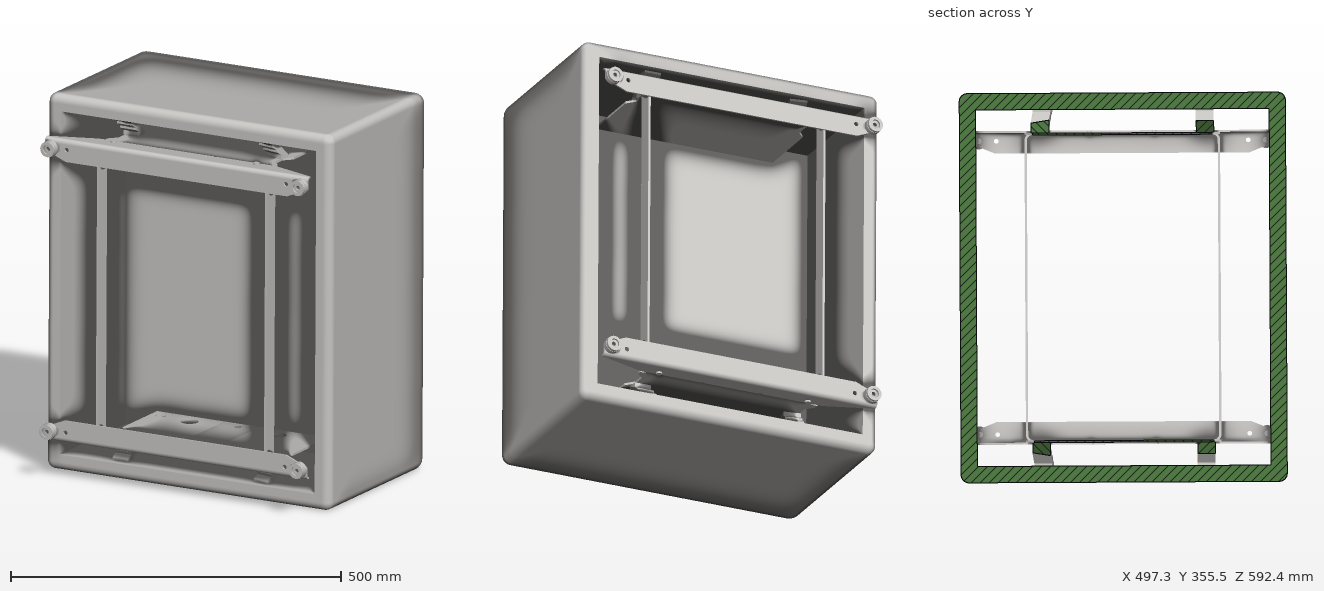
import cadquery as cq

TILT_ANGLE = 0.29

CASE_WIDTH = 494.5
CASE_DEPTH = 304.5
CASE_HEIGHT = 590.0
CASE_WALL = 25.5
CAVITY_DEPTH = 201.5
SIDE_ROUND = 13.0
BACK_ROUND = 25.0

FRAME_WIDTH = 296.0
FRAME_TOP = 234.5
FRAME_SHEET = 3.5
FRAME_BEND = 12.0
FRAME_FRONT = -19.5
UPRIGHT_BACK = 5.5
SHELF_BACK = 169.0
RELIEF_DEPTH = 12.0
RELIEF_FRONT = 12.5
RELIEF_BACK = 62.0
RELIEF_TAPER = 13.0

PORT_DIAMETER = 27.0
PORT_X = 76.5
PORT_Y = 141.5
CORNER_HOLES = [(125.5, 150.0, 7.0), (139.0, 144.5, 6.5)]
PAD_WIDTH = 61.5
PAD_FRONT = 50.0
PAD_BACK = 163.0
PAD_RECESS = 0.5
PAD_HOLE_DIAMETER = 11.0
PAD_HOLE_Y = 155.0

BRACKET_LENGTH = 457.5
BRACKET_SHEET = 3.0
BRACKET_BEND = 7.0
BRACKET_FRONT = -38.0
BRACKET_BACK = -4.0
BRACKET_BACK_LENGTH = 306.0
BRACKET_TAPER_END = -29.5
FLANGE_EDGE = 203.0
FLANGE_EDGE_LENGTH = 385.0
FLANGE_END = 218.0
FLANGE_HOLE_X = 191.0
FLANGE_HOLE_DIAMETER = 7.0
EDGE_HOLE_X = 49.0
EDGE_HOLE_Y = -3.0
EDGE_HOLE_DIAMETER = 6.5
BOLT_X = 124.5
BOLT_Y = -11.0
BOLT_HEAD_DIAMETER = 9.5
BOLT_HEAD_HEIGHT = 3.0

FOOT_X = 217.5
FOOT_Z = 222.0
FOOT_DIAMETER = 25.0
FOOT_LENGTH = 13.0
FOOT_RIM_DIAMETER = 23.5
FOOT_RIM_LENGTH = 5.0
RECESS_DIAMETER = 14.0
RECESS_DEPTH = 3.0
SOCKET_DIAMETER = 6.5
SOCKET_DEPTH = 6.0
STUD_DIAMETER = 9.0
STUD_END = -30.0

LEFT_ISOLATOR_X = -125.0
RIGHT_ISOLATOR_X = 119.0
ISOLATOR_WIDTH = 27.0
ISOLATOR_FRONT = 15.0
ISOLATOR_SLANT = 29.5
ISOLATOR_THICKNESS = 18.0
ISOLATOR_PAD = 3.5
ISOLATOR_STEPS = 3
STEP_RISER = 3.5
RIGHT_ISOLATOR_TURN = -10

BRACKET_TOP = FRAME_TOP + BRACKET_SHEET
CAVITY_TOP = CASE_HEIGHT / 2 - CASE_WALL
SIDES = (-1, 1)


def box(x0, x1, y0, y1, z0, z1):
    return cq.Workplane("XY").box(x1 - x0, y1 - y0, z1 - z0, centered=False).translate((x0, y0, z0))


def rod_along_y(x, z, diameter, y0, y1):
    return cq.Workplane("XZ", origin=(x, y0, z)).circle(diameter / 2).extrude(y0 - y1)


def rod_along_z(x, y, diameter, z0, z1):
    return cq.Workplane("XY", origin=(x, y, z0)).circle(diameter / 2).extrude(z1 - z0)


def flipped(shape):
    """Mirror a top feature to the bottom."""
    return shape.mirror("XY")


def make_case():
    half_width = CASE_WIDTH / 2
    half_height = CASE_HEIGHT / 2
    opening = half_width - CASE_WALL
    shell = box(-half_width, half_width, 0, CASE_DEPTH, -half_height, half_height)
    shell = shell.edges("|Y or <Y").fillet(SIDE_ROUND)
    shell = shell.faces(">Y").edges().fillet(BACK_ROUND)
    return shell.cut(box(-opening, opening, 0, CAVITY_DEPTH, -CAVITY_TOP, CAVITY_TOP))


def make_frame_loop():
    """Sheet loop of bent uprights at the front, continued by flat shelves at top and bottom."""
    half_width = FRAME_WIDTH / 2
    inner_half = half_width - FRAME_SHEET
    inner_top = FRAME_TOP - FRAME_SHEET
    loop = box(-half_width, half_width, FRAME_FRONT, UPRIGHT_BACK, -FRAME_TOP, FRAME_TOP)
    loop = loop.edges("|Y").fillet(FRAME_BEND)
    inside = box(-inner_half, inner_half, FRAME_FRONT, UPRIGHT_BACK, -inner_top, inner_top)
    loop = loop.cut(inside.edges("|Y").fillet(FRAME_BEND - FRAME_SHEET))
    shelf = box(-half_width, half_width, UPRIGHT_BACK, SHELF_BACK, inner_top, FRAME_TOP)
    return loop.union(shelf).union(flipped(shelf))


def make_shelf_reliefs():
    """Shallow notches in the shelf side edges, just behind the uprights."""
    edge = FRAME_WIDTH / 2
    reliefs = cq.Workplane("XY")
    for side in SIDES:
        notch = (
            cq.Workplane("XY", origin=(0, 0, -FRAME_TOP))
            .moveTo(side * edge, RELIEF_FRONT)
            .lineTo(side * (edge - RELIEF_DEPTH), RELIEF_FRONT + RELIEF_TAPER)
            .lineTo(side * (edge - RELIEF_DEPTH), RELIEF_BACK - RELIEF_TAPER)
            .lineTo(side * edge, RELIEF_BACK)
            .close()
            .extrude(2 * FRAME_TOP)
        )
        reliefs = reliefs.add(notch)
    return reliefs.combine()


def make_shelf_openings():
    """Ports, small corner holes and the shallow pad recess of the bottom shelf."""
    floor = FRAME_SHEET - FRAME_TOP
    openings = box(-PAD_WIDTH / 2, PAD_WIDTH / 2, PAD_FRONT, PAD_BACK, floor - PAD_RECESS, floor)
    holes = [(0, PAD_HOLE_Y, PAD_HOLE_DIAMETER)]
    for side in SIDES:
        holes.append((side * PORT_X, PORT_Y, PORT_DIAMETER))
        holes.extend((side * x, y, diameter) for x, y, diameter in CORNER_HOLES)
    for x, y, diameter in holes:
        openings = openings.union(rod_along_z(x, y, diameter, -FRAME_TOP, floor))
    return openings


def make_bracket():
    """Top bracket: tapered horizontal leg, front flange, bolt heads and holes."""
    half_length = BRACKET_LENGTH / 2
    under_leg = BRACKET_TOP - BRACKET_SHEET
    angle = box(-half_length, half_length, BRACKET_FRONT, BRACKET_BACK, FLANGE_EDGE, BRACKET_TOP)
    angle = angle.edges("|X and >Z and <Y").fillet(BRACKET_BEND)
    inside = box(
        -half_length, half_length, BRACKET_FRONT + BRACKET_SHEET, BRACKET_BACK, FLANGE_EDGE, under_leg
    )
    angle = angle.cut(inside.edges("|X and >Z and <Y").fillet(BRACKET_BEND - BRACKET_SHEET))

    leg_outline = (
        cq.Workplane("XY", origin=(0, 0, FLANGE_EDGE))
        .polyline([
            (-half_length, BRACKET_FRONT),
            (half_length, BRACKET_FRONT),
            (half_length, BRACKET_TAPER_END),
            (BRACKET_BACK_LENGTH / 2, BRACKET_BACK),
            (-BRACKET_BACK_LENGTH / 2, BRACKET_BACK),
            (-half_length, BRACKET_TAPER_END),
        ])
        .close()
        .extrude(BRACKET_TOP - FLANGE_EDGE)
    )
    flange_outline = (
        cq.Workplane("XZ", origin=(0, BRACKET_BACK, 0))
        .polyline([
            (-half_length, BRACKET_TOP),
            (half_length, BRACKET_TOP),
            (half_length, FLANGE_END),
            (FLANGE_EDGE_LENGTH / 2, FLANGE_EDGE),
            (-FLANGE_EDGE_LENGTH / 2, FLANGE_EDGE),
            (-half_length, FLANGE_END),
        ])
        .close()
        .extrude(BRACKET_BACK - BRACKET_FRONT)
    )
    bracket = angle.intersect(leg_outline).intersect(flange_outline)

    flange_back = BRACKET_FRONT + BRACKET_SHEET
    for side in SIDES:
        head_top = BRACKET_TOP + BOLT_HEAD_HEIGHT
        bracket = bracket.union(rod_along_z(side * BOLT_X, BOLT_Y, BOLT_HEAD_DIAMETER, BRACKET_TOP, head_top))
        bracket = bracket.cut(
            rod_along_y(side * FLANGE_HOLE_X, FOOT_Z, FLANGE_HOLE_DIAMETER, BRACKET_FRONT, flange_back)
        )
        bracket = bracket.cut(rod_along_y(side * FOOT_X, FOOT_Z, STUD_DIAMETER, BRACKET_FRONT, flange_back))
    return bracket


def make_edge_holes():
    """Holes through bracket and shelf that straddle the bracket's back edge."""
    holes = cq.Workplane("XY")
    for side in SIDES:
        shelf_bottom = FRAME_TOP - FRAME_SHEET
        holes = holes.add(
            rod_along_z(side * EDGE_HOLE_X, EDGE_HOLE_Y, EDGE_HOLE_DIAMETER, shelf_bottom, BRACKET_TOP)
        )
    return holes.combine()


def make_frame():
    """Frame loop with both mounting brackets, as one body."""
    loop = make_frame_loop().cut(make_shelf_reliefs()).cut(make_shelf_openings())
    bracket = make_bracket()
    edge_holes = make_edge_holes()
    frame = loop.union(bracket).union(flipped(bracket))
    return frame.cut(edge_holes).cut(flipped(edge_holes))


def make_foot(x, z):
    """Round stepped foot on the flange face, with a recess, a socket and a stud through the flange."""
    face = BRACKET_FRONT - FOOT_LENGTH
    shoulder = face + FOOT_RIM_LENGTH
    recess_floor = face + RECESS_DEPTH
    foot = rod_along_y(x, z, FOOT_DIAMETER, shoulder, BRACKET_FRONT)
    foot = foot.union(rod_along_y(x, z, FOOT_RIM_DIAMETER, face, shoulder))
    foot = foot.union(rod_along_y(x, z, STUD_DIAMETER, BRACKET_FRONT, STUD_END))
    foot = foot.cut(rod_along_y(x, z, RECESS_DIAMETER, face, recess_floor))
    return foot.cut(rod_along_y(x, z, SOCKET_DIAMETER, recess_floor, recess_floor + SOCKET_DEPTH))


def make_isolator():
    """Stepped, slanted block from the case wall (front) back to the top shelf, at x = 0."""
    slope_top = CAVITY_TOP - ISOLATOR_PAD
    slope_bottom = FRAME_TOP + ISOLATOR_PAD
    step_run = ISOLATOR_SLANT / ISOLATOR_STEPS
    step_rise = (slope_top - slope_bottom) / ISOLATOR_STEPS
    back_top = ISOLATOR_FRONT + ISOLATOR_THICKNESS
    front_bottom = ISOLATOR_FRONT + ISOLATOR_SLANT

    outline = [(ISOLATOR_FRONT, CAVITY_TOP)]
    for step in range(ISOLATOR_STEPS):
        y = ISOLATOR_FRONT + step * step_run
        z = slope_top - step * step_rise
        outline.append((y, z))
        outline.append((y + step_run, z - step_rise + STEP_RISER))
    outline.append((front_bottom, FRAME_TOP))
    outline.append((front_bottom + ISOLATOR_THICKNESS, FRAME_TOP))
    outline.append((front_bottom + ISOLATOR_THICKNESS, slope_bottom))
    outline.append((back_top, slope_top))
    outline.append((back_top, CAVITY_TOP))
    return cq.Workplane("YZ").polyline(outline).close().extrude(ISOLATOR_WIDTH / 2, both=True)


def make_isolators():
    pivot = (0, ISOLATOR_FRONT, 0)
    straight = make_isolator()
    turned = straight.rotate(pivot, (0, ISOLATOR_FRONT, 1), RIGHT_ISOLATOR_TURN)
    left = straight.translate((LEFT_ISOLATOR_X, 0, 0))
    right = turned.translate((RIGHT_ISOLATOR_X, 0, 0))
    return [left, right, flipped(left), flipped(right)]


case = make_case()
frame = make_frame()
isolators = make_isolators()
feet = [make_foot(x * FOOT_X, z * FOOT_Z) for x in SIDES for z in SIDES]

bodies = [case, frame, *isolators, *feet]
tilted = [body.rotate((0, 0, 0), (0, 1, 0), TILT_ANGLE) for body in bodies]
result = cq.Compound.makeCompound([body.solids().val() for body in tilted])